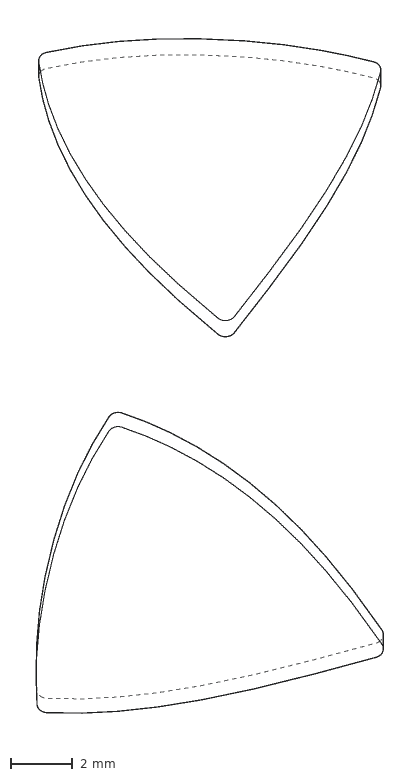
import cadquery as cq

thickness = 0.9
corner_radius = 0.34

left_corner = (-0.12, 5.96)
top_corner = (9.6, 11.42)
right_corner = (10.72, -0.09)

upper_side = [(2.09, 7.95), (4.3, 9.37), (6.68, 10.51)]
right_side = [(10.28, 9.07), (10.67, 6.19), (10.77, 3.11)]
lower_side = [(6.68, 1.12), (4.21, 2.26), (2.08, 3.68)]


def bowed_plate():
    """Three-cornered plate with outward-bowed sides and rounded corners."""
    outline = (
        cq.Workplane("XY")
        .moveTo(*left_corner)
        .spline(upper_side + [top_corner], includeCurrent=True)
        .spline(right_side + [right_corner], includeCurrent=True)
        .spline(lower_side + [left_corner], includeCurrent=True)
        .close()
    )
    return outline.extrude(thickness).edges("|Z").fillet(corner_radius)


result = bowed_plate()